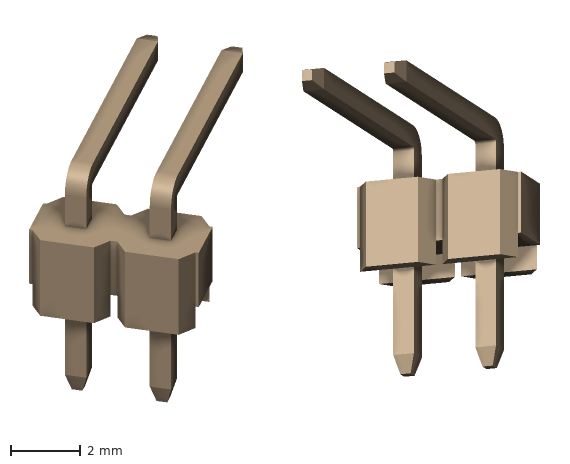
import cadquery as cq
import math


WAYS = 2
PITCH = 2.54

HOUSING_DEPTH = PITCH
HOUSING_HEIGHT = PITCH
SHOULDER_STEP = 0.1
SHOULDER_WIDTH = 1.54
FRONT_WIDTH = 1.61
SLOT_HEIGHT = 0.72

PIN_WIDTH = 0.64
PIN_RISE = 1.79
PIN_TOP = HOUSING_HEIGHT + PIN_RISE
PIN_BOTTOM = -3.0
PIN_REACH = 8.15
BEND_INNER_RADIUS = 0.08
TIP_LENGTH = 0.55
TIP_WIDTH = PIN_WIDTH / 2

HALF_PIN = PIN_WIDTH / 2
BEND_OUTER_RADIUS = BEND_INNER_RADIUS + PIN_WIDTH
BEND_MID_RADIUS = BEND_INNER_RADIUS + HALF_PIN
LEVEL_LEG_AXIS = PIN_TOP - HALF_PIN


def make_housing():
    """Block with stepped, chamfered corners, a bottom channel and a square pin hole."""
    half_pitch = PITCH / 2
    half_depth = HOUSING_DEPTH / 2
    half_shoulder = SHOULDER_WIDTH / 2
    half_front = FRONT_WIDTH / 2
    chamfer_x = half_pitch - SHOULDER_STEP
    outline = [
        (half_pitch, -half_shoulder),
        (half_pitch, half_shoulder),
        (chamfer_x, half_shoulder),
        (half_front, half_depth),
        (-half_front, half_depth),
        (-chamfer_x, half_shoulder),
        (-half_pitch, half_shoulder),
        (-half_pitch, -half_shoulder),
        (-chamfer_x, -half_shoulder),
        (-half_front, -half_depth),
        (half_front, -half_depth),
        (chamfer_x, -half_shoulder),
    ]
    block = cq.Workplane("XY").polyline(outline).close().extrude(HOUSING_HEIGHT)
    slot = cq.Workplane("XY").rect(PITCH, SHOULDER_WIDTH).extrude(SLOT_HEIGHT)
    pin_hole = cq.Workplane("XY").rect(PIN_WIDTH, PIN_WIDTH).extrude(HOUSING_HEIGHT)
    return block.cut(slot).cut(pin_hole)


def make_tip(base_plane):
    """Square point that tapers away from the end of a leg."""
    return (
        cq.Workplane(base_plane)
        .rect(PIN_WIDTH, PIN_WIDTH)
        .workplane(offset=TIP_LENGTH)
        .rect(TIP_WIDTH, TIP_WIDTH)
        .loft()
    )


def make_pin():
    """Square wire that rises along Z, bends toward +Y and is pointed at both ends."""
    leg_bottom = PIN_BOTTOM + TIP_LENGTH
    leg_end = PIN_REACH - TIP_LENGTH
    bend_y = BEND_MID_RADIUS
    bend_z = LEVEL_LEG_AXIS - BEND_MID_RADIUS
    diagonal = math.sqrt(0.5)

    def bend_middle(radius):
        return (bend_y - radius * diagonal, bend_z + radius * diagonal)

    wire = (
        cq.Workplane("YZ")
        .moveTo(-HALF_PIN, leg_bottom)
        .lineTo(-HALF_PIN, bend_z)
        .threePointArc(bend_middle(BEND_OUTER_RADIUS), (bend_y, PIN_TOP))
        .lineTo(leg_end, PIN_TOP)
        .lineTo(leg_end, PIN_TOP - PIN_WIDTH)
        .lineTo(bend_y, PIN_TOP - PIN_WIDTH)
        .threePointArc(bend_middle(BEND_INNER_RADIUS), (HALF_PIN, bend_z))
        .lineTo(HALF_PIN, leg_bottom)
        .close()
        .extrude(HALF_PIN, both=True)
    )
    bottom_plane = cq.Plane(origin=(0, 0, leg_bottom), xDir=(1, 0, 0), normal=(0, 0, -1))
    end_plane = cq.Plane(origin=(0, leg_end, LEVEL_LEG_AXIS), xDir=(1, 0, 0), normal=(0, 1, 0))
    return wire.union(make_tip(bottom_plane)).union(make_tip(end_plane))


bodies = []
for way in range(WAYS):
    way_x = (way - (WAYS - 1) / 2) * PITCH
    housing = make_housing().translate((way_x, 0, 0))
    pin = make_pin().translate((way_x, 0, 0))
    bodies.append(housing.val())
    bodies.append(pin.val())

result = cq.Compound.makeCompound(bodies)